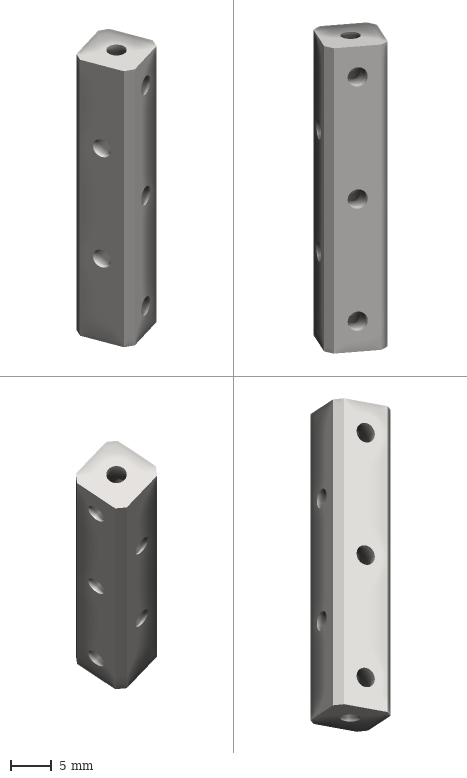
import cadquery as cq

length = 40
width = 8
edge_chamfer = 1.0

hole_diameter = 2.5
hole_pitch = 16
x_hole_count = 3
y_hole_count = 2


def cross_holes(plane, count):
    """A centred row of evenly spaced cylinders along Z, passing through the bar normal to the plane."""
    row = cq.Workplane(plane).rarray(0.4, hole_pitch, 1, count)
    return row.circle(hole_diameter / 2).extrude(width, both=True)


bar = cq.Workplane("XY").box(width, width, length).edges("|Z").chamfer(edge_chamfer)

bar = bar.faces(">Z").workplane().hole(hole_diameter)

bar = bar.cut(cross_holes("YZ", x_hole_count))
result = bar.cut(cross_holes("XZ", y_hole_count))